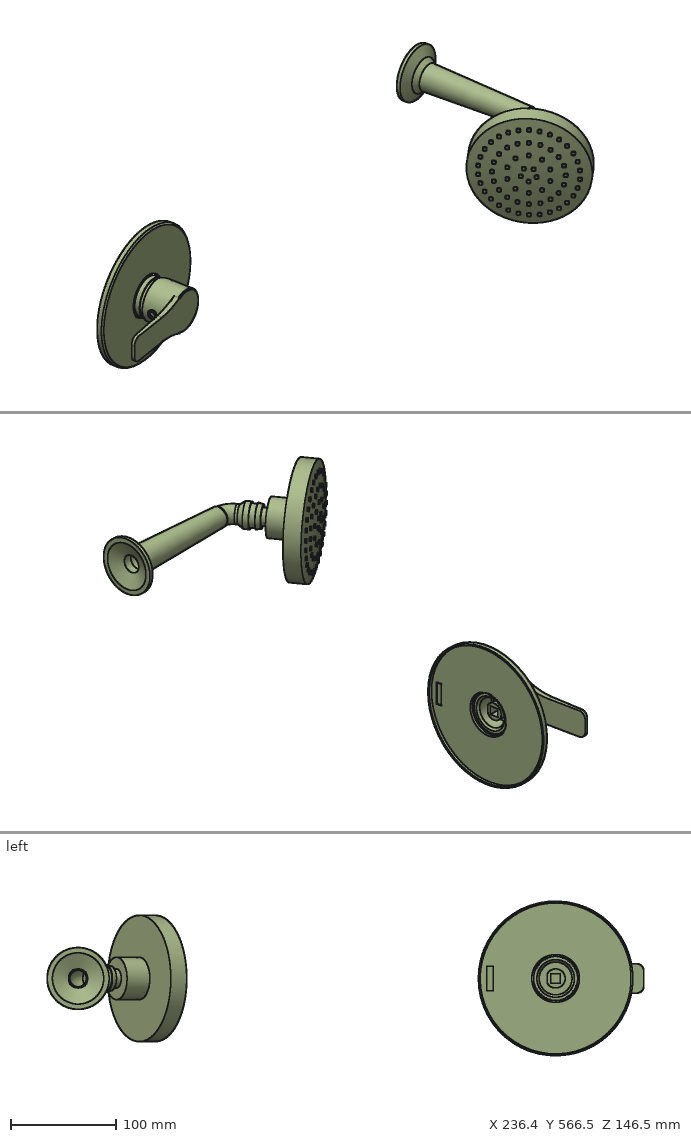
import cadquery as cq
import math

flange_dia = 59.0
flange_rim = 4.0
flare_end = 10.0
neck_dia = 37.5
neck_end = 16.0
cone_mouth_dia = 48.5
cone_depth = 7.0
arm_bore_dia = 18.0

arm_root_dia = 29.0
arm_tip_dia = 21.5
arm_tip_x = 132.5
elbow_dia = 20.0
elbow_radius = 17.0
elbow_angle = 60.0
elbow_bore_dia = 16.0

swivel_length = 32.0
swivel_cone_start = 3.0
swivel_collar_start = 8.5
swivel_collar_end = 14.0
swivel_nut_start = 20.5
swivel_neck_start = 25.5
swivel_collar_dia = 27.0
swivel_body_dia = 24.0
swivel_nut_dia = 26.0
swivel_neck_dia = 18.0

head_dia = 120.0
head_rim = 17.5
dome_height = 5.5
head_hub_dia = 40.0
head_hub_height = 25.0
nozzle_dia = 4.2
nozzle_height = 1.0
nozzle_root = 3.0
nozzle_rings = [
    (48.5, 30, 90),
    (35.0, 20, 90),
    (21.5, 10, 90),
    (8.0, 5, -90),
]

valve_y = -453.0
plate_dia = 146.5
plate_back = 1.5
plate_thickness = 7.0
plate_wall = 1.5
plate_floor = 3.5
plate_hole_dia = 45.0
plate_edge_chamfer = 1.5
notch_width = 6.0
notch_height = 23.0
notch_depth = 1.0
notch_offset = 62.0

sleeve_back = plate_back + plate_thickness
sleeve_collar_end = 14.0
sleeve_end = 27.0
sleeve_collar_dia = 42.0
sleeve_dia = 40.0
sleeve_bore_dia = 31.0
sleeve_mouth_dia = 35.5

hub_dia = 45.0
hub_back = 18.5
hub_front = 52.5
hub_edge_chamfer = 1.0
cut_start_y = 5.0
cut_top_x = 28.5
hub_cavity_end = 45.0
stem_dia = 18.0
stem_flat = 8.0
stem_back = 13.5
stem_socket = 9.0
screw_dia = 9.5
screw_recess_dia = 7.0
screw_x = 30.5
screw_height = 1.0
screw_recess_depth = 1.5

lever_reach = 84.0
lever_width = 28.5
lever_root_back = 46.5
lever_tip_back = 49.0
lever_flare_radius = 68.0
lever_corner_radius = 7.5

turn = math.radians(elbow_angle)
head_direction = cq.Vector(math.cos(turn), -math.sin(turn), 0)
head_across = cq.Vector(math.sin(turn), math.cos(turn), 0)
elbow_end = cq.Vector(
    arm_tip_x + elbow_radius * math.sin(turn), -elbow_radius * (1 - math.cos(turn)), 0
)
head_hub_back = elbow_end + head_direction * swivel_length
valve_plane = cq.Plane(origin=(0, valve_y, 0), xDir=(0, 1, 0), normal=(1, 0, 0))


def axis_revolve(points, origin, direction, across):
    """Solid of revolution from (distance along axis, radius) points."""
    normal = direction.cross(across)
    plane = cq.Plane(origin=origin, xDir=direction, normal=normal)
    return cq.Workplane(plane).polyline(points).close().revolve(360, (0, 0), (1, 0))


def valve_cylinder(dia, start, end):
    return cq.Workplane(valve_plane).workplane(offset=start).circle(dia / 2).extrude(end - start)


def make_escutcheon():
    profile = [
        (0, cone_mouth_dia / 2),
        (0, flange_dia / 2),
        (flange_rim, flange_dia / 2),
        (flare_end, neck_dia / 2),
        (neck_end, arm_root_dia / 2),
        (neck_end, arm_bore_dia / 2),
        (cone_depth, arm_bore_dia / 2),
    ]
    return axis_revolve(profile, cq.Vector(0, 0, 0), cq.Vector(1, 0, 0), cq.Vector(0, 1, 0))


def elbow_tube(dia):
    middle = cq.Vector(
        arm_tip_x + elbow_radius * math.sin(turn / 2), -elbow_radius * (1 - math.cos(turn / 2)), 0
    )
    path = (
        cq.Workplane("XY")
        .moveTo(arm_tip_x, 0)
        .threePointArc((middle.x, middle.y), (elbow_end.x, elbow_end.y))
    )
    return cq.Workplane("YZ", origin=(arm_tip_x, 0, 0)).circle(dia / 2).sweep(path)


def make_arm():
    profile = [
        (neck_end, 0),
        (neck_end, arm_root_dia / 2),
        (arm_tip_x, arm_tip_dia / 2),
        (arm_tip_x, 0),
    ]
    tube = axis_revolve(profile, cq.Vector(0, 0, 0), cq.Vector(1, 0, 0), cq.Vector(0, 1, 0))
    straight_bore = (
        cq.Workplane("YZ", origin=(neck_end, 0, 0)).circle(arm_bore_dia / 2).extrude(arm_tip_x - neck_end)
    )
    return tube.union(elbow_tube(elbow_dia)).cut(straight_bore).cut(elbow_tube(elbow_bore_dia))


def make_swivel():
    profile = [
        (0, 0),
        (0, elbow_dia / 2),
        (swivel_cone_start, elbow_dia / 2),
        (swivel_collar_start, swivel_collar_dia / 2),
        (swivel_collar_end, swivel_collar_dia / 2),
        (swivel_collar_end, swivel_body_dia / 2),
        (swivel_nut_start, swivel_body_dia / 2),
        (swivel_nut_start, swivel_nut_dia / 2),
        (swivel_neck_start, swivel_body_dia / 2),
        (swivel_neck_start, swivel_neck_dia / 2),
        (swivel_length, swivel_neck_dia / 2),
        (swivel_length, 0),
    ]
    return axis_revolve(profile, elbow_end, head_direction, head_across)


def make_head():
    radius = head_dia / 2
    rim_back = head_hub_height
    rim_front = rim_back + head_rim
    dome_radius = (radius**2 + dome_height**2) / (2 * dome_height)

    def dome_at(r):
        return rim_front + dome_height - dome_radius + math.sqrt(dome_radius**2 - r**2)

    section = cq.Plane(origin=head_hub_back, xDir=head_direction, normal=head_direction.cross(head_across))
    body = (
        cq.Workplane(section)
        .lineTo(0, head_hub_dia / 2)
        .lineTo(rim_back, head_hub_dia / 2)
        .lineTo(rim_back, radius)
        .lineTo(rim_front, radius)
        .threePointArc((dome_at(radius / 2), radius / 2), (dome_at(0), 0))
        .close()
        .revolve(360, (0, 0), (1, 0))
    )
    face = cq.Plane(origin=head_hub_back, xDir=head_across, normal=head_direction)
    for ring_radius, count, first_angle in nozzle_rings:
        root = dome_at(ring_radius) - nozzle_root
        nozzles = (
            cq.Workplane(face)
            .workplane(offset=root)
            .polarArray(ring_radius, first_angle, 360, count)
            .circle(nozzle_dia / 2)
            .extrude(nozzle_root + nozzle_height)
        )
        body = body.union(nozzles)
    return body


def make_plate():
    floor_back = plate_back + plate_thickness - plate_floor
    disc = valve_cylinder(plate_dia, plate_back, plate_back + plate_thickness)
    disc = disc.faces(">X").edges().chamfer(plate_edge_chamfer)
    hollow = valve_cylinder(plate_dia - 2 * plate_wall, plate_back, floor_back)
    hole = valve_cylinder(plate_hole_dia, plate_back, plate_back + plate_thickness)
    notch = (
        cq.Workplane(valve_plane)
        .workplane(offset=floor_back)
        .center(notch_offset, 0)
        .rect(notch_width, notch_height)
        .extrude(notch_depth)
    )
    return disc.cut(hollow).cut(hole).cut(notch)


def make_sleeve():
    collar = valve_cylinder(sleeve_collar_dia, sleeve_back, sleeve_collar_end)
    tube = valve_cylinder(sleeve_dia, sleeve_back, sleeve_end)
    bore = valve_cylinder(sleeve_bore_dia, sleeve_back, sleeve_end)
    mouth_chamfer = (sleeve_mouth_dia - sleeve_bore_dia) / 2
    sleeve = collar.union(tube).cut(bore)
    mouth_edge = cq.selectors.RadiusNthSelector(0)
    return sleeve.faces("<X").edges(mouth_edge).chamfer(mouth_chamfer)


def make_lever():
    half = lever_width / 2
    hub_radius = hub_dia / 2
    flare_z = half + lever_flare_radius
    flare_y = -math.sqrt((hub_radius + lever_flare_radius) ** 2 - flare_z**2)
    touch = hub_radius / (hub_radius + lever_flare_radius)
    root_y = flare_y * touch
    root_z = flare_z * touch
    start_angle = math.atan2(-flare_z, -flare_y)
    middle_angle = (start_angle - math.pi / 2) / 2
    middle_y = flare_y + lever_flare_radius * math.cos(middle_angle)
    middle_z = flare_z + lever_flare_radius * math.sin(middle_angle)
    lever = (
        cq.Workplane(valve_plane)
        .workplane(offset=lever_root_back)
        .moveTo(root_y, root_z)
        .threePointArc((middle_y, middle_z), (flare_y, half))
        .lineTo(-lever_reach, half)
        .lineTo(-lever_reach, -half)
        .lineTo(flare_y, -half)
        .threePointArc((middle_y, -middle_z), (root_y, -root_z))
        .close()
        .extrude(hub_front - lever_root_back)
    )
    lever = lever.faces("<Y").edges("|X").fillet(lever_corner_radius)
    taper = (
        cq.Workplane("XY", origin=(0, valve_y, 0))
        .moveTo(lever_root_back, -hub_dia / 2)
        .lineTo(lever_root_back, -lever_reach)
        .lineTo(lever_tip_back, -lever_reach)
        .close()
        .extrude(lever_width, both=True)
    )
    return lever.cut(taper)


def make_handle():
    hub = valve_cylinder(hub_dia, hub_back, hub_front).faces(">X").edges().chamfer(hub_edge_chamfer)
    oblique_cut = (
        cq.Workplane("XY", origin=(0, valve_y, 0))
        .moveTo(hub_back, cut_start_y)
        .lineTo(cut_top_x, hub_dia / 2)
        .lineTo(hub_back, hub_dia / 2)
        .close()
        .extrude(hub_dia, both=True)
    )
    sleeve_seat = valve_cylinder(sleeve_dia, hub_back, sleeve_end)
    cavity = valve_cylinder(sleeve_bore_dia, sleeve_end, hub_cavity_end)
    stem = valve_cylinder(stem_dia, stem_back, hub_cavity_end)
    flat = (
        cq.Workplane(valve_plane)
        .workplane(offset=stem_back)
        .center(stem_flat + stem_dia / 2, 0)
        .rect(stem_dia, stem_dia)
        .extrude(hub_cavity_end - stem_back)
    )
    socket = (
        cq.Workplane(valve_plane)
        .workplane(offset=stem_back)
        .rect(stem_socket, stem_socket)
        .extrude(hub_cavity_end - stem_back)
    )
    screw_face_y = valve_y - hub_dia / 2 - screw_height
    screw_plane = cq.Workplane("XZ", origin=(screw_x, screw_face_y, 0))
    screw_depth = screw_height + (hub_dia - sleeve_dia) / 2
    screw = screw_plane.circle(screw_dia / 2).extrude(-screw_depth)
    recess = screw_plane.circle(screw_recess_dia / 2).extrude(-screw_recess_depth)

    handle = hub.cut(oblique_cut).cut(sleeve_seat).cut(cavity)
    handle = handle.union(stem.cut(flat).cut(socket))
    return handle.union(make_lever()).union(screw).cut(recess)


escutcheon = make_escutcheon()
arm = make_arm()
swivel = make_swivel()
head = make_head()
plate = make_plate()
sleeve = make_sleeve()
handle = make_handle()

result = cq.Compound.makeCompound(
    [
        escutcheon.val(),
        arm.val(),
        swivel.val(),
        head.val(),
        plate.val(),
        sleeve.val(),
        handle.val(),
    ]
)